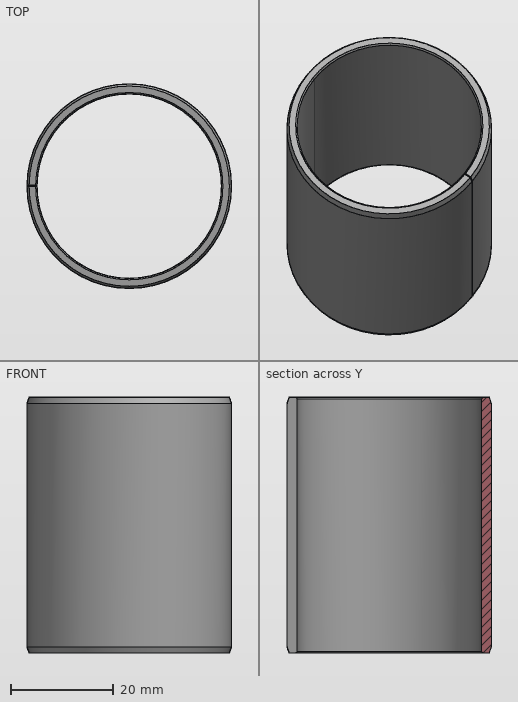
import cadquery as cq
import math

length = 50.0
outer_diameter = 40.0
wall = 2.0
outer_radius = outer_diameter / 2
bore_radius = outer_radius - wall

outer_chamfer_length = 1.2
outer_chamfer_angle = math.radians(20)
outer_chamfer_depth = outer_chamfer_length * math.tan(outer_chamfer_angle)
bore_chamfer = 0.3

slit_width = 0.2
slit_reach = 2 * wall


def make_sleeve():
    """Revolve the chamfered wall section around Z."""
    end_outer_radius = outer_radius - outer_chamfer_depth
    end_bore_radius = bore_radius + bore_chamfer
    return (
        cq.Workplane("XZ")
        .moveTo(end_bore_radius, 0)
        .lineTo(end_outer_radius, 0)
        .lineTo(outer_radius, outer_chamfer_length)
        .lineTo(outer_radius, length - outer_chamfer_length)
        .lineTo(end_outer_radius, length)
        .lineTo(end_bore_radius, length)
        .lineTo(bore_radius, length - bore_chamfer)
        .lineTo(bore_radius, bore_chamfer)
        .close()
        .revolve(360, (0, 0, 0), (0, 1, 0))
    )


def make_slit():
    """Thin full-length cutter through the wall at -X."""
    wall_middle = outer_radius - wall / 2
    return (
        cq.Workplane("XY")
        .center(-wall_middle, slit_width / 2)
        .rect(slit_reach, slit_width)
        .extrude(length)
    )


result = make_sleeve().cut(make_slit())